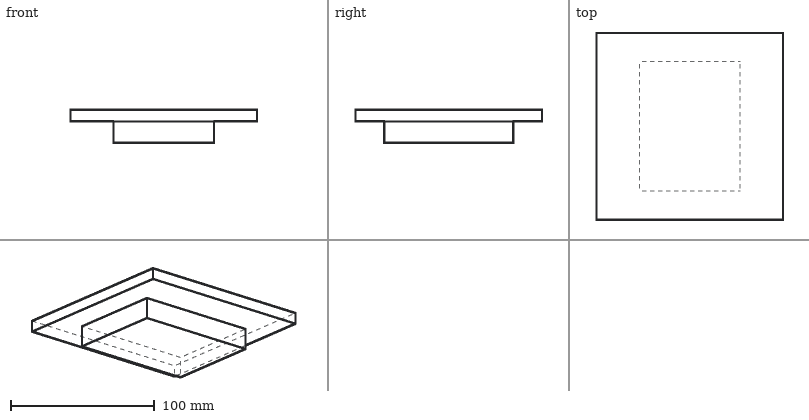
import cadquery as cq

plate_side = 130.0
total_height = 23.0
plate_thickness = 8.0

block_length_x = 70.0
block_length_y = 90.0
block_height = total_height - plate_thickness

plate = cq.Workplane("XY").rect(plate_side, plate_side).extrude(plate_thickness)
block = cq.Workplane("XY").rect(block_length_x, block_length_y).extrude(-block_height)

result = plate.union(block)